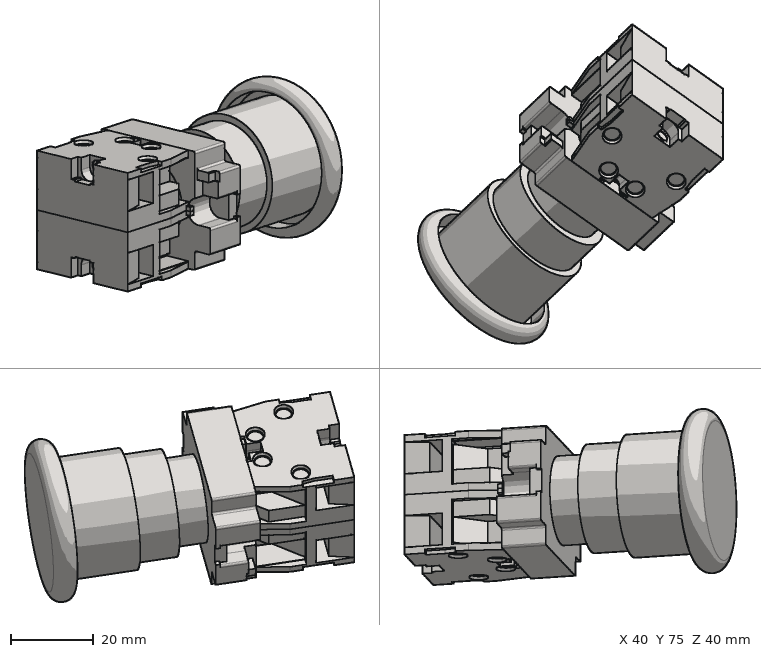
import cadquery as cq
import math


TOTAL_LENGTH = 75.0
OVERALL_WIDTH = 40.0
HALF_WIDTH = OVERALL_WIDTH / 2

BLOCK_LENGTH = 24.4
COLLAR_BACK = 35.4
STEM_END = 43.0
NECK_END = 53.0
HEAD_THICKNESS = 6.0
HEAD_GROOVE_DEPTH = 4.9

STEM_RADIUS = 10.9
NECK_RADIUS = 13.3
BODY_RADIUS = 15.0

COLLAR_HALF = 15.0
EDGE_RADIUS = 0.5
EAR_HALF_HEIGHT = 10.1
CHANNEL_HALF = 3.4
LIP_HALF = 2.85
LIP_THICKNESS = 1.1
CHANNEL_BACK_X = 18.8
CHANNEL_BACK_Y = COLLAR_BACK - 3.0
GROOVE_X = 16.1
EAR_CUT_Y = 27.3
EAR_CUT_STEP = 0.45
PEG_FRONT = 25.3
PEG_REACH = 18.6
PEG_INNER_Z = 7.65
PEG_CHAMFER = 0.2

BLOCK_HALF = 14.55
BLOCK_HEIGHT = 15.0
WAIST_HALF = 12.9
TAPER_START = 16.0
TAB_DEPTH = 1.1
TAB_HEIGHT = 1.1

RECESS_FRONT = 11.85
LOWER_PLATE_TOP = 1.95
SHELF_TOP = 5.9
UPPER_PLATE_BOTTOM = 13.2
SHELF_BEVEL_Y = 20.85
SHELF_BEVEL_DEPTH = 3.0
POCKET_X = 6.9
POCKET_BEVEL_END = 18.9
POCKET_TOP = 12.3
CREVICE_X = 6.0
CREVICE_TOP = 13.05

WINDOW_BOTTOM = 5.25
WINDOW_FRONT = 6.0
WINDOW_BACK = 9.45
WEDGE_DEPTH = 1.6

NOTCH_DEPTH = 1.0
NOTCH_FRONT = 5.0
NOTCH_FULL_Y = 9.7
NOTCH_BACK = 12.7
NOTCH_WIDTH = 1.6
NOTCH_BACK_WIDTH = 1.1
HOLE_RADIUS = 2.3
HOLE_FLOOR_RADIUS = 1.95
HOLE_CONE_DEPTH = 0.75
HOLE_DEPTH = 1.1
HOLE_PLACES = [(4.3, 20.6), (10.3, 12.4)]

SLOT_HALF = 3.6
SLOT_LENGTH = 2.55
SLOT_FLOOR = 9.9
KEY_HALF = 2.6
KEY_FLOOR = 9.5
WELL_RADIUS = 2.5
WELL_AXIS = KEY_FLOOR + WELL_RADIUS
WELL_END = 5.7
SCREW_RADIUS = 1.54
SCREW_AXIS = 12.6
SCREW_HEAD_HEIGHT = 0.15
REAR_WELL_FRONT = 19.9
REAR_RECESS_FRONT = 23.4
REAR_RECESS_HALF = 4.3
REAR_RECESS_DEPTH = 1.0


def box(x0, x1, y0, y1, z0, z1):
    """Box between two corners given axis by axis."""
    return cq.Workplane("XY").box(x1 - x0, y1 - y0, z1 - z0, centered=False).translate((x0, y0, z0))


def y_cylinder(radius, y0, y1, x=0, z=0):
    """Cylinder along Y from y0 to y1."""
    return cq.Workplane("XZ", origin=(x, y0, z)).circle(radius).extrude(y0 - y1)


def prism_z(points, z0, z1):
    """XY polygon extruded from z0 to z1."""
    return cq.Workplane("XY").workplane(offset=z0).polyline(points).close().extrude(z1 - z0)


def both_sides(shape):
    """The shape together with its mirror image in X."""
    return shape.union(shape.mirror("YZ"))


def make_button():
    """Stepped round body with a full-round mushroom rim and a ring groove behind it."""
    head_start = TOTAL_LENGTH - HEAD_THICKNESS
    groove_floor = head_start + HEAD_GROOVE_DEPTH
    rim_radius = HEAD_THICKNESS / 2
    rim_flat = HALF_WIDTH - rim_radius
    return (
        cq.Workplane("XY")
        .moveTo(0, BLOCK_LENGTH)
        .lineTo(STEM_RADIUS, BLOCK_LENGTH)
        .lineTo(STEM_RADIUS, STEM_END)
        .lineTo(NECK_RADIUS, STEM_END)
        .lineTo(NECK_RADIUS, NECK_END)
        .lineTo(BODY_RADIUS, NECK_END)
        .lineTo(BODY_RADIUS, groove_floor)
        .lineTo(rim_flat, groove_floor)
        .lineTo(rim_flat, head_start)
        .threePointArc((HALF_WIDTH, head_start + rim_radius), (rim_flat, TOTAL_LENGTH))
        .lineTo(0, TOTAL_LENGTH)
        .close()
        .revolve(360, (0, 0, 0), (0, 1, 0))
    )


def make_channel():
    """Open channel along the outside of the -X ear, with rounded mouth, end wall and groove floor."""
    mouth = HALF_WIDTH - EDGE_RADIUS
    flare = CHANNEL_HALF + EDGE_RADIUS
    arc_shift = EDGE_RADIUS * (1 - math.sqrt(0.5))
    channel = (
        cq.Workplane("XZ", origin=(0, BLOCK_LENGTH, 0))
        .moveTo(-CHANNEL_BACK_X, CHANNEL_HALF)
        .lineTo(-mouth, CHANNEL_HALF)
        .threePointArc((-HALF_WIDTH + arc_shift, CHANNEL_HALF + arc_shift), (-HALF_WIDTH, flare))
        .lineTo(-HALF_WIDTH, -flare)
        .threePointArc((-HALF_WIDTH + arc_shift, -CHANNEL_HALF - arc_shift), (-mouth, -CHANNEL_HALF))
        .lineTo(-CHANNEL_BACK_X, -CHANNEL_HALF)
        .close()
        .extrude(BLOCK_LENGTH - COLLAR_BACK + LIP_THICKNESS)
    )
    lip_gap = box(-HALF_WIDTH, -CHANNEL_BACK_X, BLOCK_LENGTH, COLLAR_BACK, -LIP_HALF, LIP_HALF)
    inner = box(-CHANNEL_BACK_X, -GROOVE_X, BLOCK_LENGTH, CHANNEL_BACK_Y, -CHANNEL_HALF, CHANNEL_HALF)
    groove = y_cylinder(CHANNEL_HALF, BLOCK_LENGTH, CHANNEL_BACK_Y, -GROOVE_X)
    return channel.union(lip_gap).union(inner).union(groove)


def make_ear_cut():
    """Cut-back front corner of the lower half of the -X ear, leaving a small square peg."""
    root = -EAR_HALF_HEIGHT - EDGE_RADIUS
    front = box(-HALF_WIDTH, -COLLAR_HALF, BLOCK_LENGTH, PEG_FRONT, root, 0)
    cut = box(-HALF_WIDTH, -COLLAR_HALF, PEG_FRONT, EAR_CUT_Y, -EAR_HALF_HEIGHT, 0)
    step = box(
        -HALF_WIDTH, -COLLAR_HALF, EAR_CUT_Y, EAR_CUT_Y + EAR_CUT_STEP, -EAR_HALF_HEIGHT, -PEG_INNER_Z
    )
    peg = box(
        -PEG_REACH, -COLLAR_HALF, PEG_FRONT, EAR_CUT_Y + EAR_CUT_STEP, -EAR_HALF_HEIGHT, -PEG_INNER_Z
    )
    peg = peg.edges("|Y").edges("<X and <Z").chamfer(PEG_CHAMFER)
    return front.union(cut).union(step).cut(peg)


def make_collar():
    """Square collar with an ear on each side; the two sides match after half a turn about Y."""
    depth = COLLAR_BACK - BLOCK_LENGTH
    collar = (
        cq.Workplane("XZ", origin=(0, BLOCK_LENGTH, 0))
        .rect(2 * COLLAR_HALF, 2 * COLLAR_HALF)
        .extrude(-depth)
        .union(
            cq.Workplane("XZ", origin=(0, BLOCK_LENGTH, 0))
            .rect(OVERALL_WIDTH, 2 * EAR_HALF_HEIGHT)
            .extrude(-depth)
        )
        .edges("|Y")
        .fillet(EDGE_RADIUS)
    )
    side_cuts = make_channel().union(make_ear_cut())
    for turn in (0, 180):
        collar = collar.cut(side_cuts.rotate((0, 0, 0), (0, 1, 0), turn))
    return collar.cut(y_cylinder(STEM_RADIUS, BLOCK_LENGTH, COLLAR_BACK))


def make_block_body():
    """Block outline, tapered towards the collar, with a small tab at each rear corner."""
    half_outline = [(BLOCK_HALF, 0), (BLOCK_HALF, TAPER_START), (WAIST_HALF, BLOCK_LENGTH)]
    other_half = [(-x, y) for x, y in reversed(half_outline)]
    body = prism_z(half_outline + other_half, 0, BLOCK_HEIGHT)
    tab = box(WAIST_HALF, BLOCK_HALF, BLOCK_LENGTH - TAB_DEPTH, BLOCK_LENGTH, 0, TAB_HEIGHT)
    return body.union(both_sides(tab))


def make_side_recess():
    """Stepped recess in the +X side: outer step, bevelled shelf, bevelled pocket and thin crevice."""
    outer = box(WAIST_HALF, BLOCK_HALF, RECESS_FRONT, BLOCK_LENGTH, LOWER_PLATE_TOP, UPPER_PLATE_BOTTOM)
    shelf_bevel = prism_z(
        [
            (WAIST_HALF, SHELF_BEVEL_Y),
            (WAIST_HALF, BLOCK_LENGTH),
            (WAIST_HALF - SHELF_BEVEL_DEPTH, BLOCK_LENGTH),
        ],
        LOWER_PLATE_TOP,
        SHELF_TOP,
    )
    pocket = prism_z(
        [
            (WAIST_HALF, RECESS_FRONT),
            (WAIST_HALF, BLOCK_LENGTH),
            (POCKET_X, BLOCK_LENGTH),
            (POCKET_X, POCKET_BEVEL_END),
        ],
        SHELF_TOP,
        POCKET_TOP,
    )
    crevice = box(CREVICE_X, WAIST_HALF, RECESS_FRONT, BLOCK_LENGTH, POCKET_TOP, CREVICE_TOP)
    return outer.union(shelf_bevel).union(pocket).union(crevice)


def make_window():
    """Wire window through the block in X, with a wedge-shaped lead-in on each side."""
    window = box(-BLOCK_HALF, BLOCK_HALF, WINDOW_FRONT, WINDOW_BACK, WINDOW_BOTTOM, UPPER_PLATE_BOTTOM)
    wedge = prism_z(
        [(BLOCK_HALF, 0), (BLOCK_HALF, WINDOW_FRONT), (BLOCK_HALF - WEDGE_DEPTH, WINDOW_FRONT)],
        WINDOW_BOTTOM,
        UPPER_PLATE_BOTTOM,
    )
    return window.union(both_sides(wedge))


def make_top_notch():
    """Shallow notch along the +X edge of the top face."""
    return prism_z(
        [
            (BLOCK_HALF, NOTCH_FRONT),
            (BLOCK_HALF, NOTCH_BACK),
            (BLOCK_HALF - NOTCH_BACK_WIDTH, NOTCH_BACK),
            (BLOCK_HALF - NOTCH_WIDTH, NOTCH_FULL_Y),
            (BLOCK_HALF - NOTCH_WIDTH, NOTCH_FRONT),
        ],
        BLOCK_HEIGHT - NOTCH_DEPTH,
        BLOCK_HEIGHT,
    )


def make_top_hole(x, y):
    """Blind hole in the top face with a conical mouth."""
    return (
        cq.Workplane("XZ")
        .polyline(
            [
                (0, 0),
                (HOLE_RADIUS, 0),
                (HOLE_FLOOR_RADIUS, -HOLE_CONE_DEPTH),
                (HOLE_FLOOR_RADIUS, -HOLE_DEPTH),
                (0, -HOLE_DEPTH),
            ]
        )
        .close()
        .revolve(360, (0, 0, 0), (0, 1, 0))
        .translate((x, y, BLOCK_HEIGHT))
    )


def make_open_well(radius, axis_z, y0, y1):
    """Round-bottomed trough along Y, open to the top face."""
    upper = box(-radius, radius, y0, y1, axis_z, BLOCK_HEIGHT)
    return y_cylinder(radius, y0, y1, z=axis_z).union(upper)


def make_front_well():
    """Front slot with a bevelled key groove, the trough behind it and a low round screw head."""
    bevel = SLOT_FLOOR - KEY_FLOOR
    slot = (
        cq.Workplane("XZ")
        .polyline(
            [
                (-SLOT_HALF, BLOCK_HEIGHT),
                (-SLOT_HALF, SLOT_FLOOR),
                (-KEY_HALF, SLOT_FLOOR),
                (-KEY_HALF + bevel, KEY_FLOOR),
                (KEY_HALF - bevel, KEY_FLOOR),
                (KEY_HALF, SLOT_FLOOR),
                (SLOT_HALF, SLOT_FLOOR),
                (SLOT_HALF, BLOCK_HEIGHT),
            ]
        )
        .close()
        .extrude(-SLOT_LENGTH)
    )
    trough = make_open_well(WELL_RADIUS, WELL_AXIS, SLOT_LENGTH, WELL_END)
    screw_head = y_cylinder(SCREW_RADIUS, WELL_END - SCREW_HEAD_HEIGHT, WELL_END, z=SCREW_AXIS)
    return slot.union(trough).cut(screw_head)


def make_rear_well():
    """Rear screw trough next to the collar, with its wider mouth and shallow recess."""
    screw = make_open_well(SCREW_RADIUS, SCREW_AXIS, REAR_WELL_FRONT, BLOCK_LENGTH)
    mouth = make_open_well(WELL_RADIUS, WELL_AXIS, REAR_RECESS_FRONT, BLOCK_LENGTH)
    recess = box(
        -REAR_RECESS_HALF, REAR_RECESS_HALF, REAR_RECESS_FRONT, BLOCK_LENGTH,
        BLOCK_HEIGHT - REAR_RECESS_DEPTH, BLOCK_HEIGHT,
    )
    return screw.union(mouth).union(recess)


def make_contact_block():
    """Upper contact block, resting on the plane z = 0."""
    block = make_block_body()
    block = block.cut(both_sides(make_side_recess()))
    block = block.cut(make_window())
    block = block.cut(both_sides(make_top_notch()))
    for x, y in HOLE_PLACES:
        block = block.cut(both_sides(make_top_hole(x, y)))
    block = block.cut(make_front_well())
    return block.cut(make_rear_well())


button = make_button()
collar = make_collar()

contact_blocks = []
for turn in (0, 180):
    contact_blocks.append(make_contact_block().rotate((0, 0, 0), (0, 1, 0), turn))

result = cq.Compound.makeCompound(
    [button.val(), collar.val(), *[block.val() for block in contact_blocks]]
)